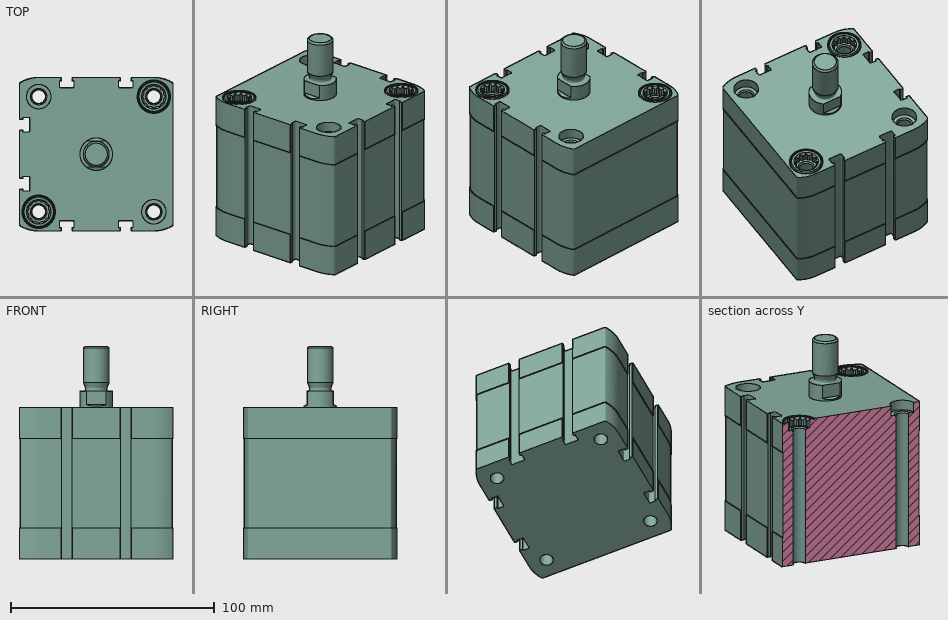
import cadquery as cq
import math

WIDTH = 75.5
HOUSING_HEIGHT = 74.5
CAP_HEIGHT = 15.2
BARREL_INSET = 0.35
CORNER_ARC_RADIUS = 18.0
CORNER_EDGE_RADIUS = 1.2
HOLE_OFFSET = 28.25

SLOT_OFFSET = 14.5
SLOT_NECK_WIDTH = 5.3
SLOT_MOUTH_WIDTH = 5.8
SLOT_NECK_DEPTH = 1.7
SLOT_POCKET_WIDTH = 7.0
SLOT_DEPTH = 5.05
SLOT_FLOOR_RADIUS = 0.4

THREAD_BORE_DIAMETER = 6.65
THREAD_MOUTH_DIAMETER = 8.0
COUNTERBORE_DIAMETER = 12.0
COUNTERBORE_DEPTH = 5.0

HEAD_RECESS_DIAMETER = 16.4
HEAD_DIAMETER = 15.5
HEAD_CHAMFER = 0.55
SOCKET_POINTS = 12
SOCKET_POINT_RADIUS = 5.8
SOCKET_TOOTH_RADIUS = 5.1
SOCKET_TOOTH_HALF_ANGLE = 5.6
SOCKET_DEPTH = 4.4
SOCKET_MOUTH_DIAMETER = 12.0
SOCKET_MOUTH_DEPTH = 1.27

ROD_HEIGHT = 30.0
ROD_DIAMETER = 16.0
COLLAR_HEIGHT = 8.0
FLAT_ACROSS = 12.8
FLAT_BOTTOM = 1.35
FLAT_RUNOUT_ANGLE = 26.0
NECK_DIAMETER = 10.6
NECK_FILLET = 0.7
NECK_TOP = 9.45
STUD_DIAMETER = 12.7
STUD_BOTTOM = 12.3
STUD_TAPER_ANGLE = 22.5
STUD_CHAMFER = 0.9


def quarter_outline(inset):
    """One quarter of the rounded square, its outer faces set back by `inset`."""
    half = WIDTH / 2 - inset
    arc_radius = CORNER_ARC_RADIUS - inset
    edge_radius = CORNER_EDGE_RADIUS - inset

    arc_centre_y = half - arc_radius
    edge_x = half - edge_radius
    reach = arc_radius - edge_radius
    edge_angle = math.acos((edge_x - HOLE_OFFSET) / reach)
    edge_y = arc_centre_y + reach * math.sin(edge_angle)

    def on_broad_arc(angle):
        return (HOLE_OFFSET + arc_radius * math.cos(angle), arc_centre_y + arc_radius * math.sin(angle))

    def on_edge_round(angle):
        return (edge_x + edge_radius * math.cos(angle), edge_y + edge_radius * math.sin(angle))

    arc_middle = on_broad_arc((math.pi / 2 + edge_angle) / 2)
    arc_end = on_broad_arc(edge_angle)
    edge_middle = on_edge_round(edge_angle / 2)

    return (
        cq.Workplane("XY")
        .moveTo(0, 0)
        .lineTo(0, half)
        .lineTo(HOLE_OFFSET, half)
        .threePointArc(arc_middle, arc_end)
        .threePointArc(edge_middle, (half, edge_y))
        .lineTo(half, 0)
        .close()
    )


def block(inset, bottom, height):
    """Prism of the rounded square outline, mirrored from one quarter."""
    quarter = quarter_outline(inset).extrude(height).translate((0, 0, bottom))
    right_half = quarter.union(quarter.mirror("XZ"))
    return right_half.union(right_half.mirror("YZ")).clean()


def slot_cutter(offset):
    """T-slot along the whole height, open towards -Y, with a flared mouth."""
    face_y = -WIDTH / 2
    half_mouth = SLOT_MOUTH_WIDTH / 2
    half_neck = SLOT_NECK_WIDTH / 2
    half_pocket = SLOT_POCKET_WIDTH / 2
    flare_y = face_y + BARREL_INSET
    lip_y = face_y + SLOT_NECK_DEPTH
    floor_y = face_y + SLOT_DEPTH
    profile = [
        (half_mouth, face_y),
        (half_neck, flare_y),
        (half_neck, lip_y),
        (half_pocket, lip_y),
        (half_pocket, floor_y),
    ]
    mirrored = [(-x, y) for x, y in reversed(profile)]
    return (
        cq.Workplane("XY")
        .polyline(profile + mirrored)
        .close()
        .extrude(HOUSING_HEIGHT)
        .edges("|Z and >Y")
        .fillet(SLOT_FLOOR_RADIUS)
        .translate((offset, 0, 0))
    )


def tapped_hole(seat_depth):
    """Through hole with a 45 degree mouth starting `seat_depth` below the top."""
    bore_radius = THREAD_BORE_DIAMETER / 2
    mouth_radius = THREAD_MOUTH_DIAMETER / 2
    seat = HOUSING_HEIGHT - seat_depth
    return (
        cq.Workplane("XZ")
        .polyline([
            (0, 0),
            (bore_radius, 0),
            (bore_radius, seat - (mouth_radius - bore_radius)),
            (mouth_radius, seat),
            (0, seat),
        ])
        .close()
        .revolve(360, (0, 0), (0, 1))
    )


def counterbored_hole():
    """Tapped hole below a plain counterbore."""
    counterbore = (
        cq.Workplane("XY", origin=(0, 0, HOUSING_HEIGHT - COUNTERBORE_DEPTH))
        .circle(COUNTERBORE_DIAMETER / 2)
        .extrude(COUNTERBORE_DEPTH)
    )
    return tapped_hole(COUNTERBORE_DEPTH).union(counterbore)


def head_ring_groove():
    """Ring gap around a screw head with a chamfered rim."""
    head_radius = HEAD_DIAMETER / 2
    recess_radius = HEAD_RECESS_DIAMETER / 2
    groove_bottom = HOUSING_HEIGHT - HEAD_CHAMFER
    return (
        cq.Workplane("XZ")
        .polyline([
            (head_radius - HEAD_CHAMFER, HOUSING_HEIGHT),
            (head_radius, groove_bottom),
            (recess_radius, groove_bottom),
            (recess_radius, HOUSING_HEIGHT),
        ])
        .close()
        .revolve(360, (0, 0), (0, 1))
    )


def socket_outline():
    """Corners of the twelve-point socket: a point, then the flat tooth tip."""
    step = 360 / SOCKET_POINTS
    corners = []
    for i in range(SOCKET_POINTS):
        point_angle = i * step
        tooth_angle = point_angle + step / 2
        for radius, degrees in (
            (SOCKET_POINT_RADIUS, point_angle),
            (SOCKET_TOOTH_RADIUS, tooth_angle - SOCKET_TOOTH_HALF_ANGLE),
            (SOCKET_TOOTH_RADIUS, tooth_angle + SOCKET_TOOTH_HALF_ANGLE),
        ):
            angle = math.radians(degrees)
            corners.append((radius * math.cos(angle), radius * math.sin(angle)))
    return corners


def screw_head_recess():
    """Tapped hole, twelve-point socket with conical mouth, and the ring gap."""
    socket = (
        cq.Workplane("XY", origin=(0, 0, HOUSING_HEIGHT - SOCKET_DEPTH))
        .polyline(socket_outline())
        .close()
        .extrude(SOCKET_DEPTH)
    )
    mouth_bottom = HOUSING_HEIGHT - SOCKET_MOUTH_DEPTH
    tooth_clear_radius = SOCKET_TOOTH_RADIUS * math.cos(math.radians(SOCKET_TOOTH_HALF_ANGLE))
    mouth = (
        cq.Workplane("XZ")
        .polyline([
            (0, mouth_bottom),
            (tooth_clear_radius, mouth_bottom),
            (SOCKET_MOUTH_DIAMETER / 2, HOUSING_HEIGHT),
            (0, HOUSING_HEIGHT),
        ])
        .close()
        .revolve(360, (0, 0), (0, 1))
    )
    return tapped_hole(SOCKET_DEPTH).union(socket).union(mouth).union(head_ring_groove())


def make_housing():
    """Barrel between two end caps, with slots on three sides and four corner holes."""
    barrel_height = HOUSING_HEIGHT - 2 * CAP_HEIGHT
    body = block(BARREL_INSET, CAP_HEIGHT, barrel_height)
    for cap_bottom in (0, HOUSING_HEIGHT - CAP_HEIGHT):
        body = body.union(block(0, cap_bottom, CAP_HEIGHT))

    for side_angle in (0, -90, 180):
        for offset in (-SLOT_OFFSET, SLOT_OFFSET):
            body = body.cut(slot_cutter(offset).rotate((0, 0, 0), (0, 0, 1), side_angle))

    for side in (-1, 1):
        body = body.cut(counterbored_hole().translate((side * HOLE_OFFSET, -side * HOLE_OFFSET, 0)))
        body = body.cut(screw_head_recess().translate((side * HOLE_OFFSET, side * HOLE_OFFSET, 0)))
    return body


def make_piston_rod():
    """Rod collar with wrench flats, undercut neck and stud."""
    rod_radius = ROD_DIAMETER / 2
    neck_radius = NECK_DIAMETER / 2
    stud_radius = STUD_DIAMETER / 2
    fillet_middle = NECK_FILLET * (1 - math.sqrt(0.5))

    def on_upper_fillet(degrees):
        """Point on the arc that bends the neck outwards into the stud taper."""
        angle = math.radians(degrees)
        return (
            neck_radius + NECK_FILLET * (1 - math.cos(angle)),
            NECK_TOP + NECK_FILLET * math.sin(angle),
        )

    rod = (
        cq.Workplane("XZ")
        .moveTo(0, 0)
        .lineTo(rod_radius, 0)
        .lineTo(rod_radius, COLLAR_HEIGHT)
        .lineTo(neck_radius + NECK_FILLET, COLLAR_HEIGHT)
        .threePointArc(
            (neck_radius + fillet_middle, COLLAR_HEIGHT + fillet_middle),
            (neck_radius, COLLAR_HEIGHT + NECK_FILLET),
        )
        .lineTo(neck_radius, NECK_TOP)
        .threePointArc(on_upper_fillet(STUD_TAPER_ANGLE / 2), on_upper_fillet(STUD_TAPER_ANGLE))
        .lineTo(stud_radius, STUD_BOTTOM)
        .lineTo(stud_radius, ROD_HEIGHT - STUD_CHAMFER)
        .lineTo(stud_radius - STUD_CHAMFER, ROD_HEIGHT)
        .lineTo(0, ROD_HEIGHT)
        .close()
        .revolve(360, (0, 0), (0, 1))
    )

    flat_y = FLAT_ACROSS / 2
    runout_drop = (rod_radius - flat_y) * math.tan(math.radians(FLAT_RUNOUT_ANGLE))
    flat = (
        cq.Workplane("YZ")
        .polyline([
            (flat_y, FLAT_BOTTOM),
            (rod_radius, FLAT_BOTTOM - runout_drop),
            (rod_radius, COLLAR_HEIGHT),
            (flat_y, COLLAR_HEIGHT),
        ])
        .close()
        .extrude(rod_radius, both=True)
    )
    rod = rod.cut(flat).cut(flat.mirror("XZ"))
    return rod.translate((0, 0, HOUSING_HEIGHT))


housing = make_housing()
piston_rod = make_piston_rod()

result = cq.Compound.makeCompound([housing.val(), piston_rod.val()])